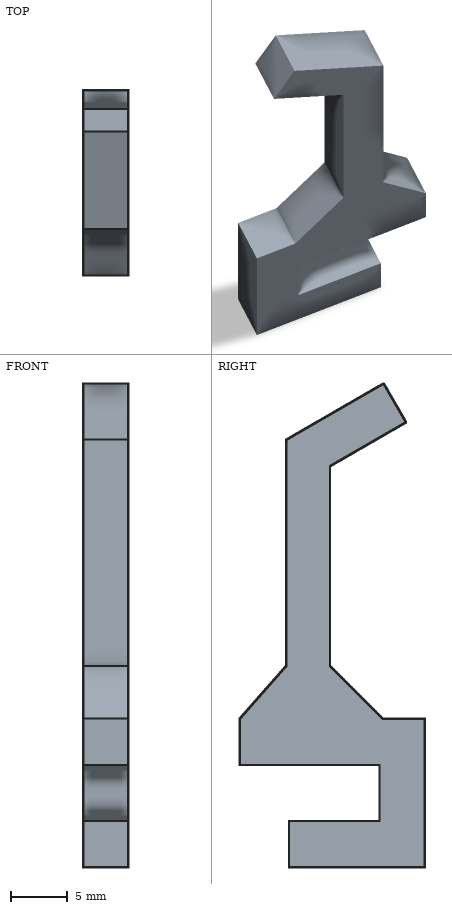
import cadquery as cq
import math

thickness = 4.0
height = 42.7
depth = 16.35

bar_height = 4.1
lower_bar_length = 12.0
back_wall = 4.0
slot_height = 4.9
slot_top = bar_height + slot_height
shoulder_z = slot_top + bar_height

stem_front = 4.1
stem_width = 3.9
stem_back = stem_front + stem_width
stem_bottom = 17.75
rear_slope_depth = 4.65

arm_angle = math.radians(30)
arm_width = 3.95
arm_length = 9.95
tip_y = stem_front + arm_length * math.cos(arm_angle)
outer_elbow_z = height - arm_length * math.sin(arm_angle)
tip_lower_y = tip_y + arm_width * math.sin(arm_angle)
tip_lower_z = height - arm_width * math.cos(arm_angle)
inner_elbow_z = tip_lower_z - (tip_lower_y - stem_back) * math.tan(arm_angle)

profile = [
    (depth, 0),
    (depth - lower_bar_length, 0),
    (depth - lower_bar_length, bar_height),
    (depth - back_wall, bar_height),
    (depth - back_wall, slot_top),
    (0, slot_top),
    (0, shoulder_z),
    (stem_front, stem_bottom),
    (stem_front, outer_elbow_z),
    (tip_y, height),
    (tip_lower_y, tip_lower_z),
    (stem_back, inner_elbow_z),
    (stem_back, stem_bottom),
    (stem_back + rear_slope_depth, shoulder_z),
    (depth, shoulder_z),
]

result = cq.Workplane("YZ").polyline(profile).close().extrude(thickness)